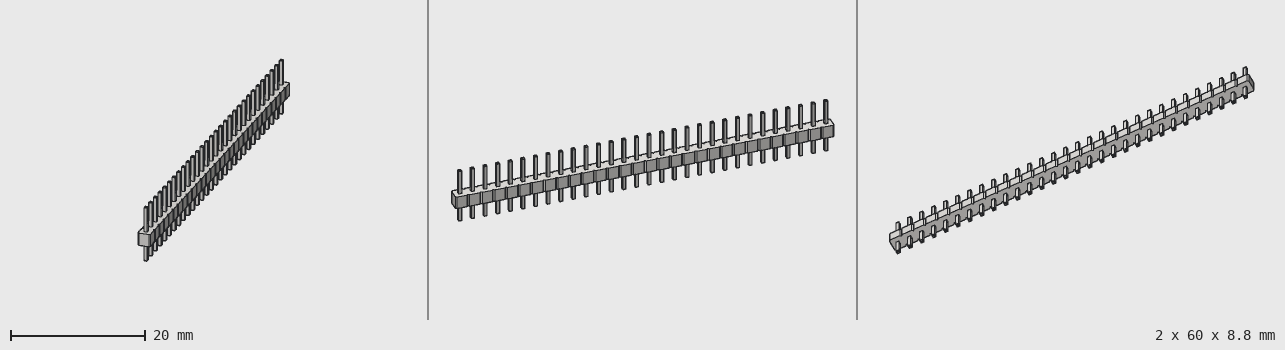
import cadquery as cq

strip_length = 60.0
pin_count = 30
corner_chamfer = 0.2
pin_width = 0.5
tip_chamfer = 0.125
tail_shortening = 1.2

pitch = strip_length / pin_count
body_size = pitch

pin_above_body = 2 * body_size
pin_below_body = pin_above_body - tail_shortening
pin_length = pin_above_body + body_size + pin_below_body
pin_places = [(0, (index - (pin_count - 1) / 2) * pitch) for index in range(pin_count)]


def make_body():
    """Strip of cells whose chamfered upright corners form V notches between neighbours."""
    half = body_size / 2
    flat = half - corner_chamfer
    cell_outline = [
        (-flat, -half), (flat, -half), (half, -flat), (half, flat),
        (flat, half), (-flat, half), (-half, flat), (-half, -flat),
    ]
    cell = cq.Workplane("XY").polyline(cell_outline).close().extrude(body_size).val()
    cells = [cell.translate(cq.Vector(x, y, 0)) for x, y in pin_places]
    return cq.Workplane(cells[0].fuse(*cells[1:]).clean())


def make_pins():
    """Row of square pins through the strip, chamfered at both tips."""
    pin = (
        cq.Workplane("XY", origin=(0, 0, -pin_below_body))
        .rect(pin_width, pin_width)
        .extrude(pin_length)
        .faces("<Z or >Z")
        .chamfer(tip_chamfer)
        .val()
    )
    return cq.Compound.makeCompound([pin.translate(cq.Vector(x, y, 0)) for x, y in pin_places])


result = make_body().union(cq.Workplane(make_pins()))